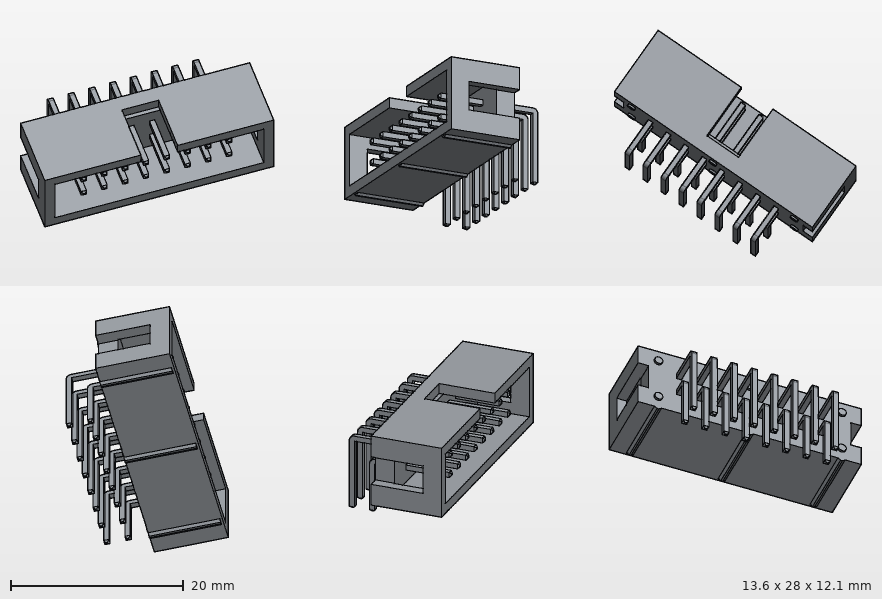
import cadquery as cq

body_depth = 8.85
body_length = 27.98
body_height = 8.85
half_length = body_length / 2

wall = 1.25
end_wall = 1.23
cavity_floor_x = 2.38

slot_width = 4.48
slot_start_x = 1.87

latch_bottom_z = 2.65
latch_top_z = 6.15
latch_front_x = 6.52
latch_recess = 1.32

pin_columns = 8
pin_row_length = 17.77
pitch = pin_row_length / (pin_columns - 1)
pin_width = 0.65
pin_front_x = 8.03
pin_bottom_z = -3.25
pin_tip_length = 0.22
pin_tip_bevel = 0.2
lower_pin_z = 3.15
lower_leg_x = -1.85

standoff_diameter = 1.0
standoff_height = 0.25
standoff_edge = 1.6
standoff_spacing = 11.5
rib_width = 0.9
rib_flat = 0.22
rib_height = 0.25
rib_length = 8.55
standoff_places_y = [-standoff_spacing, 0, standoff_spacing]


def block(x_range, y_range, z_range):
    """Box that spans the given (low, high) range along each axis."""
    ranges = (x_range, y_range, z_range)
    sizes = [high - low for low, high in ranges]
    corner = tuple(low for low, high in ranges)
    return cq.Workplane("XY").box(*sizes, centered=False).translate(corner)


def make_housing():
    housing = block((0, body_depth), (-half_length, half_length), (0, body_height))

    cavity_half = half_length - end_wall
    cavity = block(
        (cavity_floor_x, body_depth),
        (-cavity_half, cavity_half),
        (wall, body_height - wall),
    )
    slot = block(
        (slot_start_x, body_depth),
        (-slot_width / 2, slot_width / 2),
        (body_height - wall, body_height),
    )
    housing = housing.cut(cavity).cut(slot)

    recess_inner_y = half_length - latch_recess
    for y_range in ((-half_length, -recess_inner_y), (recess_inner_y, half_length)):
        housing = housing.cut(block((0, latch_front_x), y_range, (latch_bottom_z, latch_top_z)))
    return housing


def make_pin(leg_x, arm_z):
    """L-shaped square pin with a rounded outer bend and bevelled ends."""
    half = pin_width / 2
    pin = (
        cq.Workplane("XZ")
        .moveTo(leg_x - half, pin_bottom_z)
        .lineTo(leg_x - half, arm_z - half)
        .radiusArc((leg_x + half, arm_z + half), pin_width)
        .lineTo(pin_front_x, arm_z + half)
        .lineTo(pin_front_x, arm_z - half)
        .lineTo(leg_x + half, arm_z - half)
        .lineTo(leg_x + half, pin_bottom_z)
        .close()
        .extrude(half, both=True)
    )
    for end in ("<Z", ">X"):
        pin = pin.faces(end).chamfer(pin_tip_length, pin_tip_bevel)
    return pin


def make_standoff(y, z):
    return (
        cq.Workplane("YZ")
        .center(y, z)
        .circle(standoff_diameter / 2)
        .extrude(-standoff_height)
    )


def make_rib(y):
    """Bevelled rib running along X under the housing."""
    return (
        cq.Workplane("YZ")
        .polyline([
            (y - rib_width / 2, 0),
            (y - rib_flat / 2, -rib_height),
            (y + rib_flat / 2, -rib_height),
            (y + rib_width / 2, 0),
        ])
        .close()
        .extrude(rib_length)
    )


result = make_housing()

for place_y in standoff_places_y:
    result = result.union(make_rib(place_y))
    for place_z in (standoff_edge, body_height - standoff_edge):
        result = result.union(make_standoff(place_y, place_z))

lower_pin = make_pin(lower_leg_x, lower_pin_z)
upper_pin = make_pin(lower_leg_x - pitch, lower_pin_z + pitch)
for column in range(pin_columns):
    column_y = column * pitch - pin_row_length / 2
    for pin in (lower_pin, upper_pin):
        result = result.union(pin.translate((0, column_y, 0)))